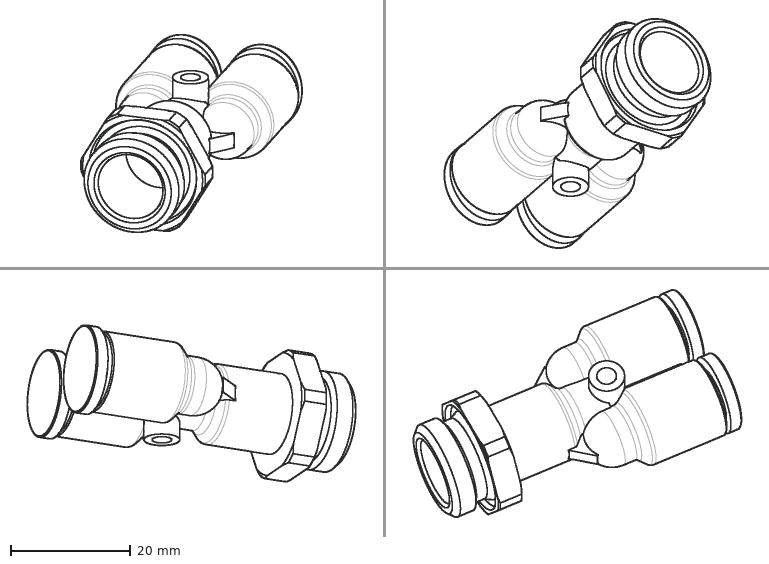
import cadquery as cq
import math


LENGTH = 51.1
THREAD_RADIUS = 8.4
THREAD_TIP_RADIUS = 7.35
THREAD_TIP_CHAMFER = 1.0
THREAD_END = 3.95
GROOVE_RADIUS = 7.3
GROOVE_FLARE_RADIUS = 8.0
GROOVE_END = 6.55
RUNOUT_ANGLE = 30.0
BODY_RADIUS = 6.85
STEM_SHOULDER = 23.55
STEM_NECK_RADIUS = 4.9
STEM_NECK_END = 31.55
STEM_NECK_FILLET = 1.75
SHOULDER_FILLET = 0.8
BEND_ANGLE = 45.0

HEX_START = 7.0
HEX_END = 11.5
HEX_FLATS = 20.0
HEX_ROUND_RADIUS = 11.0
HEX_LOWER_FACE_RADIUS = 10.6
HEX_LOWER_CHAMFER = 0.18
HEX_UPPER_FACE_RADIUS = 10.35
HEX_UPPER_CHAMFER = 0.3

RECESS_MOUTH_RADIUS = 9.5
RECESS_FLOOR_RADIUS = 9.2
RECESS_DEPTH = 0.9

BORE_MOUTH_RADIUS = 6.3
BORE_RADIUS = 5.7
BORE_CHAMFER = 0.55
BORE_DEPTH = 15.35
BORE_TIP_RADIUS = 0.75
BORE_CONE_HEIGHT = 3.05

BRANCH_OFFSET = 7.05
BRANCH_NECK_RADIUS = 4.95
BRANCH_NECK_FILLET = 1.05
BRANCH_DOME_CENTER = 30.0
BRANCH_SHOULDER = 34.5
BRANCH_END = 48.25
BRANCH_END_CHAMFER = 0.25

COLLAR_START = 49.0
COLLAR_WIDTH = 13.15
COLLAR_HEIGHT = 15.0
COLLAR_CHAMFER = 0.2
COLLAR_NECK_RADIUS = 4.85

EYELET_Y = 32.5
EYELET_RADIUS = 3.0
EYELET_HOLE_RADIUS = 1.65
EYELET_HEIGHT = 15.35

WEB_THICKNESS = 2.6
WEB_TOP = 46.6
WEB_HALF_WIDTH = 1.0
BRACE_STEM_X = 6.55
BRACE_STEM_Y = 21.75
BRACE_DOME_X = 9.9
BRACE_DOME_Y = 25.85


def shift(point, target, distance):
    """Point reached by moving a distance from one point toward another."""
    span = math.dist(point, target)
    return tuple(a + (b - a) * distance / span for a, b in zip(point, target))


def bend(profile, before, corner, after, radius):
    """Draw up to a 45 degree corner and round it with a tangent arc."""
    tangent_length = radius * math.tan(math.radians(BEND_ANGLE / 2))
    arc_start = shift(corner, before, tangent_length)
    arc_end = shift(corner, after, tangent_length)
    return profile.lineTo(*arc_start).tangentArcPoint(arc_end, relative=False)


def revolve_y(profile):
    """Close a (radius, y) outline and turn it into a solid around the Y axis."""
    return profile.close().revolve(360, (0, 0, 0), (0, 1, 0))


def make_stem():
    """Thread, undercut groove, body and narrowed neck of the stem."""
    recess_floor = HEX_START + RECESS_DEPTH
    runout = (THREAD_RADIUS - GROOVE_RADIUS) * math.tan(math.radians(RUNOUT_ANGLE))
    body_start = (BODY_RADIUS, recess_floor)
    shoulder = (BODY_RADIUS, STEM_SHOULDER)
    neck_start = (STEM_NECK_RADIUS, STEM_SHOULDER + BODY_RADIUS - STEM_NECK_RADIUS)
    neck_end = (STEM_NECK_RADIUS, STEM_NECK_END)
    profile = (
        cq.Workplane("XY")
        .moveTo(0, 0)
        .lineTo(THREAD_TIP_RADIUS, 0)
        .lineTo(THREAD_RADIUS, THREAD_TIP_CHAMFER)
        .lineTo(THREAD_RADIUS, THREAD_END)
        .lineTo(GROOVE_RADIUS, THREAD_END + runout)
        .lineTo(GROOVE_RADIUS, GROOVE_END)
        .lineTo(GROOVE_FLARE_RADIUS, recess_floor)
        .lineTo(*body_start)
    )
    profile = bend(profile, body_start, shoulder, neck_start, SHOULDER_FILLET)
    profile = bend(profile, shoulder, neck_start, neck_end, STEM_NECK_FILLET)
    return revolve_y(profile.lineTo(*neck_end).lineTo(0, STEM_NECK_END))


def make_hexagon():
    """Wrench hexagon with turned corners and a sealing recess."""
    height = HEX_END - HEX_START
    corner_diameter = HEX_FLATS / math.cos(math.radians(30))
    hexagon = (
        cq.Workplane("XZ", origin=(0, HEX_START, 0))
        .polygon(6, corner_diameter)
        .extrude(-height)
    )
    rounding = revolve_y(
        cq.Workplane("XY")
        .moveTo(0, HEX_START)
        .lineTo(HEX_LOWER_FACE_RADIUS, HEX_START)
        .lineTo(HEX_ROUND_RADIUS, HEX_START + HEX_LOWER_CHAMFER)
        .lineTo(HEX_ROUND_RADIUS, HEX_END - HEX_UPPER_CHAMFER)
        .lineTo(HEX_UPPER_FACE_RADIUS, HEX_END)
        .lineTo(0, HEX_END)
    )
    recess = revolve_y(
        cq.Workplane("XY")
        .moveTo(0, HEX_START)
        .lineTo(RECESS_MOUTH_RADIUS, HEX_START)
        .lineTo(RECESS_FLOOR_RADIUS, HEX_START + RECESS_DEPTH)
        .lineTo(0, HEX_START + RECESS_DEPTH)
    )
    return hexagon.intersect(rounding).cut(recess)


def make_bore():
    """Blind bore with a chamfered mouth and a truncated conical bottom."""
    return revolve_y(
        cq.Workplane("XY")
        .moveTo(0, 0)
        .lineTo(BORE_MOUTH_RADIUS, 0)
        .lineTo(BORE_RADIUS, BORE_CHAMFER)
        .lineTo(BORE_RADIUS, BORE_DEPTH)
        .lineTo(BORE_TIP_RADIUS, BORE_DEPTH + BORE_CONE_HEIGHT)
        .lineTo(0, BORE_DEPTH + BORE_CONE_HEIGHT)
    )


def make_collar():
    """Oval release collar on its round neck."""
    neck = (
        cq.Workplane("XZ", origin=(0, BRANCH_END, 0))
        .circle(COLLAR_NECK_RADIUS)
        .extrude(BRANCH_END - COLLAR_START)
    )
    flange = (
        cq.Workplane("XZ", origin=(0, COLLAR_START, 0))
        .ellipse(COLLAR_WIDTH / 2, COLLAR_HEIGHT / 2)
        .extrude(COLLAR_START - LENGTH)
        .faces(">Y")
        .chamfer(COLLAR_CHAMFER)
    )
    return neck.union(flange)


def make_branch():
    """One tube with its domed foot and release collar, centred on the Y axis."""
    dome_foot = BRANCH_DOME_CENTER - BRANCH_NECK_RADIUS
    dome_diagonal = BRANCH_NECK_RADIUS * math.sqrt(0.5)
    neck_start = (BRANCH_NECK_RADIUS, BRANCH_DOME_CENTER)
    neck_end = (BRANCH_NECK_RADIUS, BRANCH_SHOULDER - BODY_RADIUS + BRANCH_NECK_RADIUS)
    shoulder = (BODY_RADIUS, BRANCH_SHOULDER)
    body_end = (BODY_RADIUS, BRANCH_END - BRANCH_END_CHAMFER)
    profile = (
        cq.Workplane("XY")
        .moveTo(0, dome_foot)
        .threePointArc((dome_diagonal, BRANCH_DOME_CENTER - dome_diagonal), neck_start)
    )
    profile = bend(profile, neck_start, neck_end, shoulder, BRANCH_NECK_FILLET)
    profile = bend(profile, neck_end, shoulder, body_end, SHOULDER_FILLET)
    profile = (
        profile.lineTo(*body_end)
        .lineTo(BODY_RADIUS - BRANCH_END_CHAMFER, BRANCH_END)
        .lineTo(0, BRANCH_END)
    )
    return revolve_y(profile).union(make_collar())


def eyelet_cylinder(radius):
    """Vertical cylinder on the eyelet axis, centred on the mid-plane."""
    return cq.Workplane("XY").center(0, EYELET_Y).circle(radius).extrude(EYELET_HEIGHT / 2, both=True)


def make_web():
    """Flat plate on the mid-plane: sloped braces below, a narrow strip between the tubes above."""
    right_side = [
        (BRACE_STEM_X, BRACE_STEM_Y),
        (BRACE_DOME_X, BRACE_DOME_Y),
        (BRANCH_OFFSET, BRANCH_DOME_CENTER),
        (WEB_HALF_WIDTH, BRANCH_DOME_CENTER),
        (WEB_HALF_WIDTH, WEB_TOP),
    ]
    left_side = [(-x, y) for x, y in reversed(right_side)]
    return cq.Workplane("XY").polyline(right_side + left_side).close().extrude(WEB_THICKNESS / 2, both=True)


result = make_stem().union(make_hexagon()).union(make_web()).union(eyelet_cylinder(EYELET_RADIUS))
for side in (-1, 1):
    result = result.union(make_branch().translate((side * BRANCH_OFFSET, 0, 0)))
result = result.cut(eyelet_cylinder(EYELET_HOLE_RADIUS)).cut(make_bore())